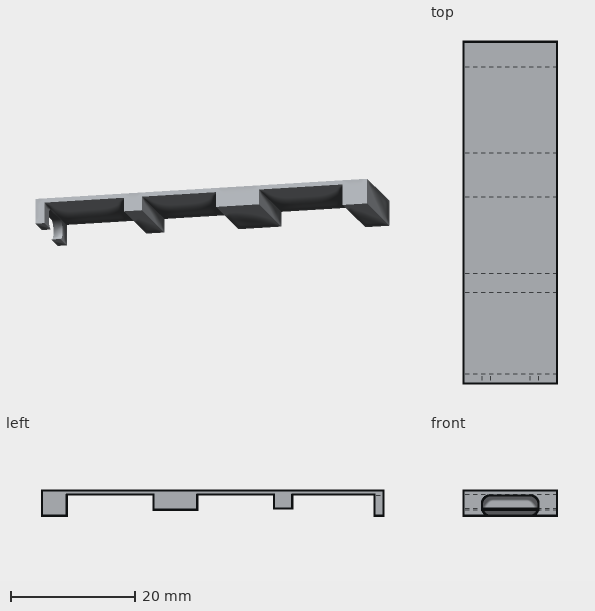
import cadquery as cq

WIDTH = 15.06
LENGTH = 55.04
HEIGHT = 4.1
PLATE_THICKNESS = 0.7

FRONT_WALL_THICKNESS = 1.5
BACK_WALL_THICKNESS = 4.05
WIDE_RIB_THICKNESS = 7.1
WIDE_RIB_DEPTH = 3.15
WIDE_RIB_TO_BACK = 17.95
NARROW_RIB_THICKNESS = 3.0
NARROW_RIB_DEPTH = 2.95
NARROW_RIB_TO_BACK = 37.35

OPENING_WIDTH = 9.1
OPENING_CORNER_RADIUS = 1.35
OPENING_TOP_DEPTH = 0.8
OPENING_HEIGHT = HEIGHT - OPENING_TOP_DEPTH

FRONT_Y = -LENGTH / 2
BACK_Y = LENGTH / 2


def cross_slab(back_y, thickness, depth):
    """Full-width slab hanging from the top face, reaching forward from back_y."""
    return (
        cq.Workplane("XY", origin=(0, back_y - thickness / 2, HEIGHT - depth))
        .box(WIDTH, thickness, depth, centered=(True, True, False))
    )


def connector_opening():
    """Rounded cutter through the front wall, leaving a thin lintel above it."""
    return (
        cq.Workplane("XZ", origin=(0, FRONT_Y, OPENING_HEIGHT / 2))
        .rect(OPENING_WIDTH, OPENING_HEIGHT)
        .extrude(-FRONT_WALL_THICKNESS)
        .edges("|Y")
        .fillet(OPENING_CORNER_RADIUS)
    )


plate = cross_slab(BACK_Y, LENGTH, PLATE_THICKNESS)
back_wall = cross_slab(BACK_Y, BACK_WALL_THICKNESS, HEIGHT)
wide_rib = cross_slab(BACK_Y - WIDE_RIB_TO_BACK, WIDE_RIB_THICKNESS, WIDE_RIB_DEPTH)
narrow_rib = cross_slab(BACK_Y - NARROW_RIB_TO_BACK, NARROW_RIB_THICKNESS, NARROW_RIB_DEPTH)
front_wall = cross_slab(FRONT_Y + FRONT_WALL_THICKNESS, FRONT_WALL_THICKNESS, HEIGHT)

result = (
    plate.union(back_wall)
    .union(wide_rib)
    .union(narrow_rib)
    .union(front_wall.cut(connector_opening()))
)